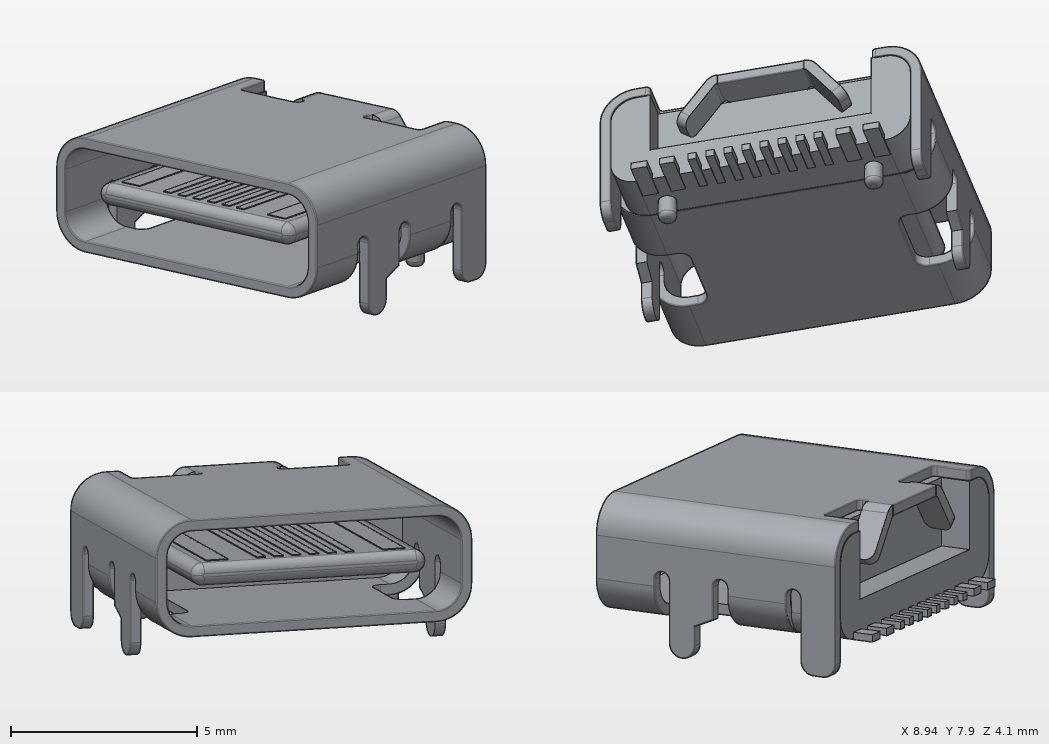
import cadquery as cq
import math


shell_width = 8.94
shell_height = 3.2
shell_length = 7.32
wall = 0.3
corner_radius = 1.0
edge_round = 0.03
half_width = shell_width / 2
inner_half_width = half_width - wall
inner_radius = corner_radius - wall
inner_top = shell_height - wall

slot_width = 0.45
slot_top = 1.42
slot_centers = (2.01, 3.8, 6.035)
slot_radius = slot_width / 2
slot_round_z = slot_top - slot_radius
cutout_inner_x = 2.9
cutout_corner_radius = 0.32
front_slot_y, middle_slot_y, rear_slot_y = slot_centers
cutout_front = front_slot_y - slot_radius
cutout_back = middle_slot_y + slot_radius
shell_floor_end = rear_slot_y - slot_radius

leg_bottom = -0.9
front_leg_width = 0.79
front_leg_front = front_slot_y + slot_radius
front_leg_back = front_leg_front + front_leg_width
shoulder_low = 0.03
shoulder_high = 0.27
rear_leg_front = rear_slot_y + slot_radius
rear_leg_corner = 0.39

notch_outer_x = 3.08
notch_front = 6.2
slit_inner_x = 1.1
flap_front = 6.53
notch_corner = 0.12
flap_bend_start = 1.21
flap_tip_x = 2.38
flap_angle = math.radians(53)
bend_radius = 0.4
flap_corner = 0.27

body_front = 5.01
pocket_half_width = 3.075
pocket_front = 6.46
pocket_floor = 1.0

tongue_half_width = 3.31
tongue_bottom = 1.3
tongue_top = 1.9
tongue_front = 0.3
tongue_nose_flat = 0.09
tongue_height = tongue_top - tongue_bottom
tongue_side_radius = 0.499 * tongue_height
contact_pitch = 0.5
contact_width = 0.25
contact_rise = 0.03
contact_front = 0.74
wide_contact_x = 2.5
wide_contact_width = 0.62
narrow_contacts_per_side = 3

tail_back = 7.9
tail_bottom = -0.04
tail_thickness = 0.21
tail_front = 6.705
narrow_tail_width = 0.22
narrow_tails_per_side = 4
wide_tails = ((2.45, 0.4), (3.23, 0.44))

post_x = 2.87
post_y = 6.27
post_radius = 0.25
post_bottom = -0.65
post_tip_round = 0.16


def block(x0, x1, y0, y1, z0, z1):
    """Box between the given limits."""
    return cq.Workplane("XY").box(x1 - x0, y1 - y0, z1 - z0, centered=False).translate((x0, y0, z0))


def rounded_bar(half_x, z0, z1, y0, y1, radius):
    """Bar along Y with a rounded rectangular section."""
    bar = block(-half_x, half_x, y0, y1, z0, z1)
    return bar.edges("|Y").fillet(radius)


def both_sides(solid):
    """The solid together with its mirror image across X = 0."""
    return solid.union(solid.mirror("YZ"))


def make_tube():
    outer = rounded_bar(half_width, 0, shell_height, 0, shell_length, corner_radius)
    inner = rounded_bar(inner_half_width, wall, inner_top, 0, shell_length, inner_radius)
    return outer.cut(inner)


def make_floor_cutouts():
    """Openings in the lower corners for the front legs, and the open rear of the floor."""
    cutout = block(cutout_inner_x, half_width, cutout_front, cutout_back, 0, slot_round_z)
    cutout = cutout.edges("|Z and <X").fillet(cutout_corner_radius)
    rear = block(-half_width, half_width, shell_floor_end, shell_length, 0, slot_round_z)
    return both_sides(cutout).union(rear)


def side_plate(outline):
    """Flat plate in the -X wall from an outline in the YZ plane."""
    return outline.extrude(wall).translate((-half_width, 0, 0))


def make_front_leg():
    """Round-ended leg on the -X wall with a sloped shoulder behind it."""
    leg_radius = front_leg_width / 2
    plate_back = middle_slot_y - slot_radius
    outline = (
        cq.Workplane("YZ")
        .moveTo(front_leg_front, slot_round_z)
        .lineTo(front_leg_front, leg_bottom + leg_radius)
        .threePointArc(
            (front_leg_front + leg_radius, leg_bottom),
            (front_leg_back, leg_bottom + leg_radius),
        )
        .lineTo(front_leg_back, shoulder_low)
        .lineTo(plate_back, shoulder_high)
        .lineTo(plate_back, slot_round_z)
        .close()
    )
    return side_plate(outline)


def make_rear_leg():
    """Leg on the -X wall, flush with the rear of the shell."""
    leg = block(-half_width, -inner_half_width, rear_leg_front, shell_length, leg_bottom, slot_round_z)
    return leg.edges("|X and <Z").fillet(rear_leg_corner)


def make_slot_tops():
    tops = cq.Workplane("YZ").pushPoints([(y, slot_round_z) for y in slot_centers])
    return tops.circle(slot_radius).extrude(half_width, both=True)


def make_notch():
    """Opening at the rear of the top plate with a slit reaching inward along its front."""
    opening = block(slit_inner_x, notch_outer_x, notch_front, flap_front, inner_top, shell_height)
    opening = opening.edges("|Z").edges("<X or <Y").fillet(notch_corner)
    rear = block(flap_bend_start, notch_outer_x, flap_front - notch_corner, shell_length,
                 inner_top, shell_height)
    return opening.union(rear)


def rear_edge_region(half_x):
    """Selector for edges of the top plate at its rear end, within half_x of the middle."""
    return cq.selectors.BoxSelector(
        (-half_x, shell_length - notch_corner, inner_top),
        (half_x, shell_length + notch_corner, shell_height),
    )


def round_shell_edges(shell):
    """Soften the rims at both ends and the outlines of the slots, legs and notches."""
    notch_corners = rear_edge_region(notch_outer_x + notch_corner)
    tab_corners = rear_edge_region(flap_tip_x)
    shell = shell.edges("|Z").edges(notch_corners - tab_corners).fillet(notch_corner)
    rims = shell.faces("<Y or >Y").edges()
    side_outlines = shell.faces("<X or >X").edges("not |Y")
    return rims.add(side_outlines).fillet(edge_round)


def make_flap():
    """Flap bent outward and down from the top plate on the +X side."""
    bend_center_z = shell_height - bend_radius

    def bend_point(radius, angle):
        return (flap_bend_start + radius * math.sin(angle), bend_center_z + radius * math.cos(angle))

    inner_bend = bend_radius - wall
    outer_end = bend_point(bend_radius, flap_angle)
    inner_end = bend_point(inner_bend, flap_angle)
    tip_run = flap_tip_x - outer_end[0]
    tip_drop = tip_run * math.tan(flap_angle)
    flap = (
        cq.Workplane("XZ")
        .moveTo(flap_bend_start, inner_top)
        .lineTo(flap_bend_start, shell_height)
        .threePointArc(bend_point(bend_radius, flap_angle / 2), outer_end)
        .lineTo(flap_tip_x, outer_end[1] - tip_drop)
        .lineTo(inner_end[0] + tip_run, inner_end[1] - tip_drop)
        .lineTo(*inner_end)
        .threePointArc(bend_point(inner_bend, flap_angle / 2), (flap_bend_start, inner_top))
        .close()
        .extrude(flap_front - shell_length)
        .translate((0, flap_front, 0))
    )
    tip_direction = cq.Vector(math.cos(flap_angle), 0, -math.sin(flap_angle))
    tip = flap.faces(cq.selectors.DirectionMinMaxSelector(tip_direction))
    return tip.edges("not |Y").fillet(flap_corner)


def make_shell():
    shell = make_tube().cut(make_floor_cutouts())
    shell = shell.union(both_sides(make_front_leg())).union(both_sides(make_rear_leg()))
    shell = shell.cut(make_slot_tops()).cut(both_sides(make_notch())).clean()
    shell = round_shell_edges(shell)
    return shell.union(both_sides(make_flap()))


def make_body():
    """Insulator filling the rear of the shell, with an open pocket behind it for the flaps."""
    body = rounded_bar(inner_half_width, wall, inner_top, body_front, shell_length, inner_radius)
    rear = rounded_bar(inner_half_width, 0, inner_top, shell_floor_end, shell_length, inner_radius)
    pocket = block(-pocket_half_width, pocket_half_width, pocket_front, shell_length,
                   pocket_floor, inner_top)
    return body.union(rear).cut(pocket)


def make_tongue():
    tongue = rounded_bar(tongue_half_width, tongue_bottom, tongue_top, tongue_front, body_front,
                         tongue_side_radius)
    return tongue.faces("<Y").edges().fillet((tongue_height - tongue_nose_flat) / 2)


def make_contacts():
    row = [((i + 0.5) * contact_pitch, contact_width) for i in range(narrow_contacts_per_side)]
    row.append((wide_contact_x, wide_contact_width))
    contacts = cq.Workplane("XY")
    for x, width in row:
        contacts = contacts.union(block(x - width / 2, x + width / 2, contact_front, body_front,
                                        tongue_top - contact_rise, tongue_top + contact_rise))
    return both_sides(contacts)


def make_tails():
    row = [((i + 0.5) * contact_pitch, narrow_tail_width) for i in range(narrow_tails_per_side)]
    row.extend(wide_tails)
    tails = cq.Workplane("XY")
    for x, width in row:
        tails = tails.union(block(x - width / 2, x + width / 2, tail_front, tail_back,
                                  tail_bottom, tail_bottom + tail_thickness))
    return both_sides(tails)


def make_posts():
    post = cq.Workplane("XY").workplane(offset=post_bottom).center(post_x, post_y)
    post = post.circle(post_radius).extrude(wall - post_bottom)
    return both_sides(post.faces("<Z").edges().fillet(post_tip_round))


result = make_shell().union(make_body()).union(make_tongue())
result = result.union(make_contacts()).union(make_tails()).union(make_posts())